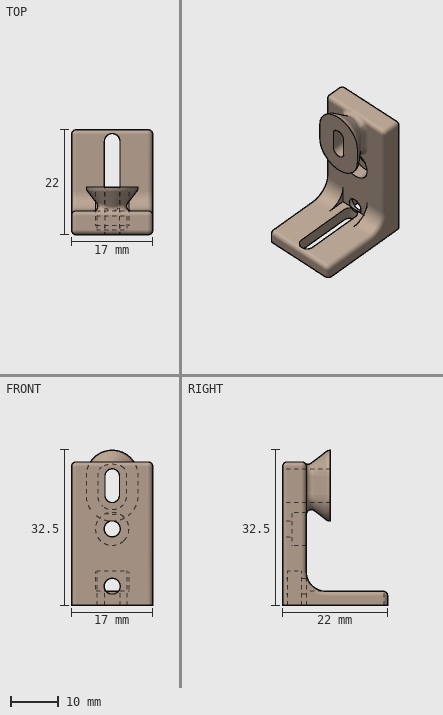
import cadquery as cq
import math

width = 17.0
depth = 22.0
wall_height = 30.02
wall_thickness = 5.0
base_thickness = 3.0
inner_radius = 4.0
edge_radius = 1.0

hole_diameter = 3.3
lower_hole_height = 4.0
upper_hole_height = 16.0
counterbore_diameter = 6.95
counterbore_floor = 2.0
wall_slot_width = 3.0
wall_slot_length = 7.0
base_slot_width = 3.2
base_slot_start = wall_thickness
base_slot_end = 21.15

clearance_width = counterbore_diameter

pocket_width = 6.3
pocket_front = 1.0
pocket_back = 4.0
pocket_height = lower_hole_height + pocket_width / 2

knob_height = 25.02
knob_straight = 4.02
knob_reach = 5.0
knob_radius = 5.42
knob_root_radius = 1.98
lip_thickness = 0.52
lip_edge_radius = 1.33
neck_fillet = 1.0


def make_bracket():
    body = (
        cq.Workplane("YZ")
        .moveTo(0, 0)
        .lineTo(depth, 0)
        .lineTo(depth, base_thickness)
        .lineTo(wall_thickness + inner_radius, base_thickness)
        .radiusArc((wall_thickness, base_thickness + inner_radius), inner_radius)
        .lineTo(wall_thickness, wall_height)
        .lineTo(0, wall_height)
        .close()
        .extrude(width / 2, both=True)
    )
    outer_edges = body.edges("not(<Z)").edges("(not(|X)) or >Z or >Y or <Y")
    return body.newObject(outer_edges.vals()).fillet(edge_radius)


def make_knob():
    """Obround flare that widens away from the wall and ends in a short rounded lip."""
    flare_length = knob_reach - lip_thickness
    flare_angle = math.degrees(math.atan2(knob_radius - knob_root_radius, flare_length))
    lip_length = knob_straight + 2 * knob_radius
    outer_face = cq.Workplane("XZ", origin=(0, wall_thickness + knob_reach, knob_height))
    lip = outer_face.slot2D(lip_length, 2 * knob_radius, 90).extrude(lip_thickness)
    flare = (
        outer_face.workplane(offset=lip_thickness)
        .slot2D(lip_length, 2 * knob_radius, 90)
        .extrude(flare_length, taper=flare_angle)
    )
    junction = wall_thickness + flare_length
    knob = lip.union(flare)
    tolerance = 0.03
    rim = cq.selectors.BoxSelector(
        (-width, junction - tolerance, 0), (width, junction + tolerance, 2 * wall_height)
    )
    return knob.edges(rim).edges("not(|Y)").fillet(lip_edge_radius)


def join_knob(bracket, knob):
    """Fuse the knob to the wall and blend the neck into the wall face."""
    body = bracket.union(knob)
    tolerance = 0.03
    half_width = knob_root_radius + tolerance
    half_length = knob_straight / 2 + half_width
    neck = cq.selectors.BoxSelector(
        (-half_width, wall_thickness - tolerance, knob_height - half_length),
        (half_width, wall_thickness + tolerance, knob_height + half_length),
    )
    return body.edges(neck).fillet(neck_fillet)


def make_cutters():
    """All holes, slots and recesses as one cutting body."""
    front = cq.Workplane("XZ")
    holes = (
        front.pushPoints([(0, lower_hole_height), (0, upper_hole_height)])
        .circle(hole_diameter / 2)
        .extrude(-wall_thickness)
    )
    counterbore = (
        front.workplane(offset=-counterbore_floor)
        .center(0, upper_hole_height)
        .circle(counterbore_diameter / 2)
        .extrude(counterbore_floor - wall_thickness)
    )
    wall_slot = (
        front.center(0, knob_height)
        .slot2D(wall_slot_length, wall_slot_width, 90)
        .extrude(-wall_thickness - knob_reach)
    )
    base_slot = (
        cq.Workplane("XY")
        .center(0, (base_slot_start + base_slot_end) / 2)
        .slot2D(base_slot_end - base_slot_start, base_slot_width, 90)
        .extrude(base_thickness)
    )
    pocket = (
        cq.Workplane("XY")
        .center(0, (pocket_front + pocket_back) / 2)
        .rect(pocket_width, pocket_back - pocket_front)
        .extrude(pocket_height)
    )
    clearance = (
        cq.Workplane("XY", origin=(0, wall_thickness, base_thickness))
        .box(clearance_width, inner_radius, inner_radius, centered=(True, False, False))
    )
    cutters = holes
    for cutter in (counterbore, wall_slot, base_slot, pocket, clearance):
        cutters = cutters.union(cutter)
    return cutters


result = join_knob(make_bracket(), make_knob()).cut(make_cutters())